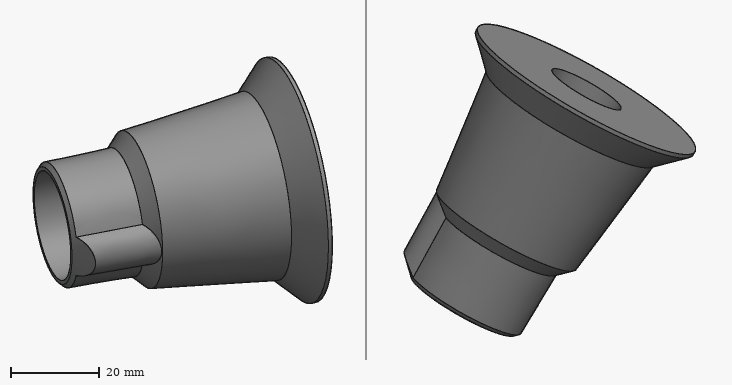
import cadquery as cq
import math

LENGTH = 57.4
RIM_THICKNESS = 1.0
FLARE_LENGTH = 6.6
SHOULDER_START = 16.8
SHOULDER_LENGTH = 3.35
TIP_CHAMFER = 1.0
RIM_START = LENGTH - RIM_THICKNESS
FLARE_START = RIM_START - FLARE_LENGTH
BODY_START = SHOULDER_START + SHOULDER_LENGTH

RIM_RADIUS = 28.4
BODY_LARGE_RADIUS = 21.85
BODY_SMALL_RADIUS = 18.25
NECK_ROOT_RADIUS = 14.9
NECK_TIP_RADIUS = 14.6
TIP_RADIUS = NECK_TIP_RADIUS - TIP_CHAMFER

SOCKET_RADIUS = 12.7
SOCKET_DEPTH = 16.65
BORE_RADIUS = 9.0

KEY_CENTER_X = 12.35
KEY_ROOT_RADIUS = 5.75
KEY_DRAFT = 1.0
KEY_TIP_RADIUS = KEY_ROOT_RADIUS - BODY_START * math.tan(math.radians(KEY_DRAFT))


def revolved(points):
    """Turn a closed (radius, Y) outline about the Y axis."""
    return cq.Workplane("XY").polyline(points).close().revolve(360, (0, 0, 0), (0, 1, 0))


def frustum(center_x, tip_radius, root_radius, length):
    """Cone frustum along +Y from Y = 0, its axis at X = center_x and Z = 0."""
    base_center = cq.Vector(center_x, 0, 0)
    axis = cq.Vector(0, 1, 0)
    return cq.Workplane(cq.Solid.makeCone(tip_radius, root_radius, length, base_center, axis))


def round_hole(radius, depth):
    """Cylinder on the Y axis, running from the neck tip towards the rim."""
    return cq.Workplane("XZ").circle(radius).extrude(-depth)


body = revolved([
    (0, 0),
    (TIP_RADIUS, 0),
    (NECK_TIP_RADIUS, TIP_CHAMFER),
    (NECK_ROOT_RADIUS, SHOULDER_START),
    (BODY_SMALL_RADIUS, BODY_START),
    (BODY_LARGE_RADIUS, FLARE_START),
    (RIM_RADIUS, RIM_START),
    (RIM_RADIUS, LENGTH),
    (0, LENGTH),
])

bevel_cone = frustum(0, TIP_RADIUS, TIP_RADIUS + BODY_START, BODY_START)
key = frustum(KEY_CENTER_X, KEY_TIP_RADIUS, KEY_ROOT_RADIUS, BODY_START).intersect(bevel_cone)

socket = round_hole(SOCKET_RADIUS, SOCKET_DEPTH)
bore = round_hole(BORE_RADIUS, LENGTH)

result = body.union(key).cut(socket).cut(bore)